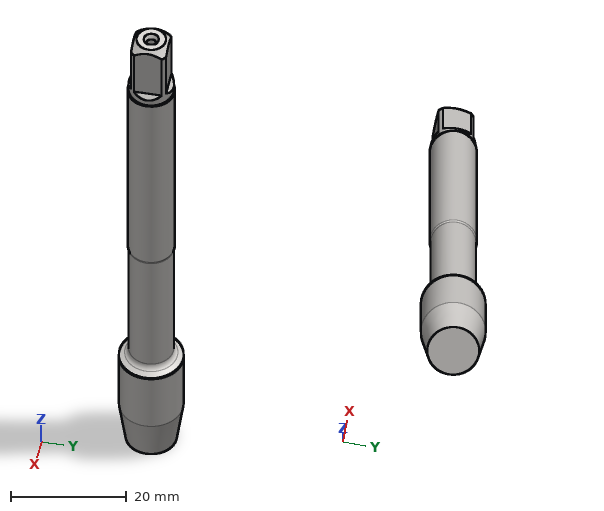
import cadquery as cq
import math

total_length = 100.0
lead_length = 8.2
cutting_length = 20.1
neck_end = 47.5
neck_taper_length = 0.5
collar_start = 87.45
square_start = 89.5

cutting_diameter = 11.25
tip_diameter = 9.0
neck_diameter = 7.88
shank_diameter = 8.2
collar_diameter = 7.9
square_width = 6.2
end_face_diameter = 5.1

shoulder_fillet = 1.35
shoulder_angle = 30.0
shoulder_rim_height = 0.3
end_chamfer_angle = 45.0
center_hole_diameter = 1.6
center_mouth_diameter = 2.6
center_hole_depth = 3.0
center_mouth_half_angle = 30.0
center_bottom_slope = 30.0

cutting_radius = cutting_diameter / 2
neck_radius = neck_diameter / 2
shank_radius = shank_diameter / 2
collar_radius = collar_diameter / 2
end_face_radius = end_face_diameter / 2
end_chamfer_height = (collar_radius - end_face_radius) * math.tan(math.radians(end_chamfer_angle))
collar_step = shank_radius - collar_radius


def make_cutting_section():
    """Cylindrical cutting section with a tapered lead at its tip."""
    return (
        cq.Workplane("XZ")
        .lineTo(tip_diameter / 2, 0)
        .lineTo(cutting_radius, lead_length)
        .lineTo(cutting_radius, cutting_length)
        .lineTo(0, cutting_length)
        .close()
        .revolve(360, (0, 0), (0, 1))
    )


def make_shank_blank():
    """Turned shank: filleted shoulder, neck, shank cylinder, collar and chamfered end."""
    fillet_sweep = math.radians(90 - shoulder_angle)
    fillet_outer = neck_radius + shoulder_fillet * (1 - math.cos(fillet_sweep))
    fillet_middle = neck_radius + shoulder_fillet * (1 - math.cos(fillet_sweep / 2))
    cone_rise = (cutting_radius - fillet_outer) * math.tan(math.radians(shoulder_angle))
    rim_top = cutting_length + shoulder_rim_height
    fillet_foot = rim_top + cone_rise
    fillet_top = fillet_foot + shoulder_fillet * math.sin(fillet_sweep)
    fillet_middle_height = fillet_top - shoulder_fillet * math.sin(fillet_sweep / 2)
    return (
        cq.Workplane("XZ")
        .moveTo(0, cutting_length)
        .lineTo(cutting_radius, cutting_length)
        .lineTo(cutting_radius, rim_top)
        .lineTo(fillet_outer, fillet_foot)
        .threePointArc((fillet_middle, fillet_middle_height), (neck_radius, fillet_top))
        .lineTo(neck_radius, neck_end)
        .lineTo(shank_radius, neck_end + neck_taper_length)
        .lineTo(shank_radius, collar_start - collar_step)
        .lineTo(collar_radius, collar_start)
        .lineTo(collar_radius, total_length - end_chamfer_height)
        .lineTo(end_face_radius, total_length)
        .lineTo(0, total_length)
        .close()
        .revolve(360, (0, 0), (0, 1))
    )


def make_flat_cutter():
    """Prism that mills one driving flat, ending in a 45 degree run-out."""
    half_width = square_width / 2
    return (
        cq.Workplane("XZ")
        .moveTo(half_width, total_length)
        .lineTo(half_width, square_start)
        .lineTo(shank_radius, square_start - (shank_radius - half_width))
        .lineTo(shank_radius, total_length)
        .close()
        .extrude(shank_radius, both=True)
    )


def make_center_hole():
    """Center-drilled hole with a 60 degree mouth and a conical bottom."""
    hole_radius = center_hole_diameter / 2
    mouth_radius = center_mouth_diameter / 2
    mouth_depth = (mouth_radius - hole_radius) / math.tan(math.radians(center_mouth_half_angle))
    bottom_cone_height = hole_radius * math.tan(math.radians(center_bottom_slope))
    return (
        cq.Workplane("XZ")
        .moveTo(0, total_length)
        .lineTo(mouth_radius, total_length)
        .lineTo(hole_radius, total_length - mouth_depth)
        .lineTo(hole_radius, total_length - center_hole_depth)
        .lineTo(0, total_length - center_hole_depth - bottom_cone_height)
        .close()
        .revolve(360, (0, 0), (0, 1))
    )


cutting_section = make_cutting_section()

shank = make_shank_blank()
for quarter in range(4):
    shank = shank.cut(make_flat_cutter().rotate((0, 0, 0), (0, 0, 1), 90 * quarter))
shank = shank.cut(make_center_hole())

result = cq.Compound.makeCompound([cutting_section.val(), shank.val()])